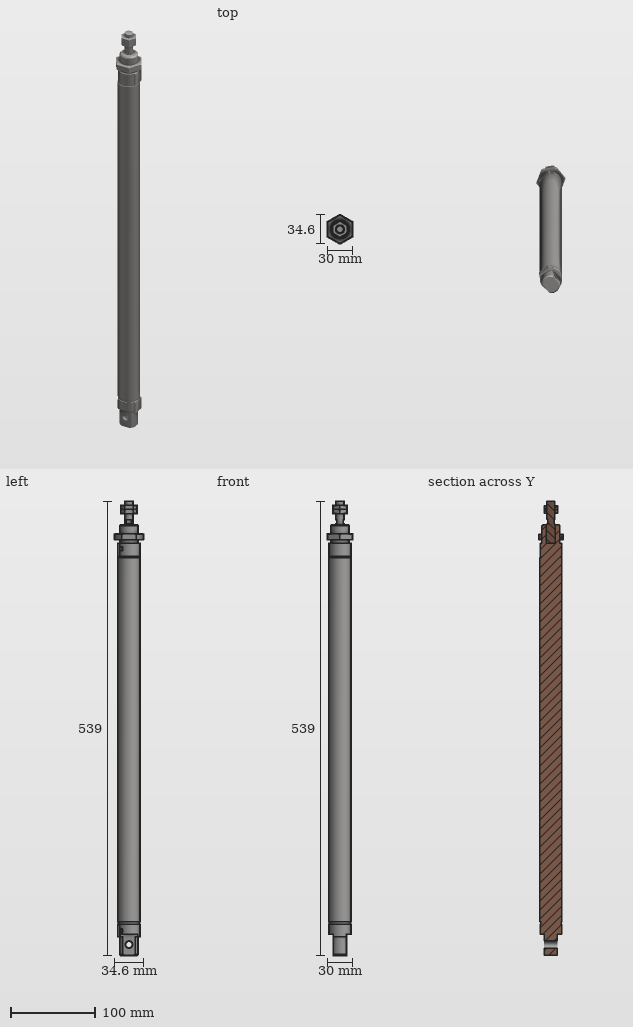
import cadquery as cq
import math


total_height = 539
rod_diameter = 10
rod_thread_length = 22
rod_thread_core = 8.65
rod_tip_slope = math.radians(30)
rod_shoulder = total_height - rod_thread_length
wrench_size = 8
wrench_flat_length = 5

mount_length = 28
thread_diameter = 22
thread_length = 22
thread_chamfer = 1.5
front_face = rod_shoulder - mount_length
thread_top = front_face + thread_length

tube_diameter = 26.8
tube_bottom = 40
tube_top = 471.8
groove_diameter = 25
cap_diameter = 26.4
rear_cap_bottom = 22
rear_cap_top = 37
front_cap_bottom = 473.3

pad_width = 15
pad_reach = 13.3
port_diameter = 5
port_floor_radius = 9
port_angle = 135
rear_port_height = 29.5
front_port_height = 482.5

clevis_diameter = 22
clevis_width = 16
clevis_chamfer = 1.5
clevis_flat_top = 25
pin_diameter = 8
pin_height = 13

mount_nut_width = 30
mount_nut_thickness = 7
mount_nut_bottom = 493
rod_nut_width = 17
rod_nut_thickness = 5
rod_nut_bottom = 524
rod_nut_count = 2
nut_chamfer_ratio = 1.1
nut_chamfer_slope = math.radians(30)


def disc(diameter, bottom, top):
    return cq.Workplane("XY").workplane(offset=bottom).circle(diameter / 2).extrude(top - bottom)


def side_cutters(width, bottom, top):
    """Two blocks that leave a pair of flats facing -X and +X, the given width apart."""
    size = 2 * tube_diameter
    blocks = cq.Workplane("XY").workplane(offset=bottom)
    blocks = blocks.pushPoints([(side * (width + size) / 2, 0) for side in (-1, 1)])
    return blocks.rect(size, size).extrude(top - bottom)


def end_cap(bottom, top, port_height):
    """Round cap with a flat-sided pad toward +Y and a radial blind port beside the pad."""
    cap = disc(cap_diameter, bottom, top)
    pad = (
        cq.Workplane("XY")
        .workplane(offset=bottom)
        .center(0, pad_reach / 2)
        .rect(pad_width, pad_reach)
        .extrude(top - bottom)
    )
    port = (
        cq.Workplane("YZ")
        .workplane(offset=port_floor_radius)
        .center(0, port_height)
        .circle(port_diameter / 2)
        .extrude(tube_diameter)
        .rotate((0, 0, 0), (0, 0, 1), port_angle)
    )
    return cap.union(pad).cut(port)


def make_cylinder_body():
    clevis = disc(clevis_diameter, 0, rear_cap_top).faces("<Z").chamfer(clevis_chamfer)
    barrel = disc(groove_diameter, rear_cap_top, front_cap_bottom)
    barrel = barrel.union(disc(tube_diameter, tube_bottom, tube_top))
    mount_thread = disc(thread_diameter, front_face, thread_top).faces(">Z").chamfer(thread_chamfer)

    body = clevis.union(end_cap(rear_cap_bottom, rear_cap_top, rear_port_height))
    body = body.union(barrel)
    body = body.union(end_cap(front_cap_bottom, front_face, front_port_height))
    body = body.union(mount_thread)

    body = body.cut(side_cutters(clevis_width, 0, clevis_flat_top))
    pin_hole = (
        cq.Workplane("YZ")
        .center(0, pin_height)
        .circle(pin_diameter / 2)
        .extrude(clevis_width, both=True)
    )
    rod_bore = disc(rod_diameter, front_face, thread_top)
    return body.cut(pin_hole).cut(rod_bore)


def make_rod():
    tip_width = (rod_diameter - rod_thread_core) / 2
    tip_length = tip_width * math.tan(rod_tip_slope)
    rod = disc(rod_diameter, front_face, total_height).faces(">Z").chamfer(tip_length, tip_width)
    return rod.cut(side_cutters(wrench_size, rod_shoulder - wrench_flat_length, rod_shoulder))


def make_nut(width, bore, bottom, thickness):
    """Hexagon nut with two sides facing -X and +X and its corners chamfered on both faces."""
    corner_diameter = width / math.cos(math.pi / 6)
    chamfer_width = (corner_diameter - nut_chamfer_ratio * width) / 2
    chamfer_length = chamfer_width * math.tan(nut_chamfer_slope)
    hexagon = (
        cq.Workplane("XY")
        .workplane(offset=bottom)
        .transformed(rotate=(0, 0, 30))
        .polygon(6, corner_diameter)
        .extrude(thickness)
    )
    envelope = disc(corner_diameter, bottom, bottom + thickness)
    envelope = envelope.faces(">Z").chamfer(chamfer_length, chamfer_width)
    envelope = envelope.faces("<Z").chamfer(chamfer_length, chamfer_width)
    return hexagon.intersect(envelope).cut(disc(bore, bottom, bottom + thickness))


cylinder_body = make_cylinder_body()
rod = make_rod()
mount_nut = make_nut(mount_nut_width, thread_diameter, mount_nut_bottom, mount_nut_thickness)
rod_nuts = []
for index in range(rod_nut_count):
    nut_bottom = rod_nut_bottom + index * rod_nut_thickness
    rod_nuts.append(make_nut(rod_nut_width, rod_diameter, nut_bottom, rod_nut_thickness))

result = cq.Compound.makeCompound(
    [cylinder_body.val(), rod.val(), mount_nut.val(), *[nut.val() for nut in rod_nuts]]
)